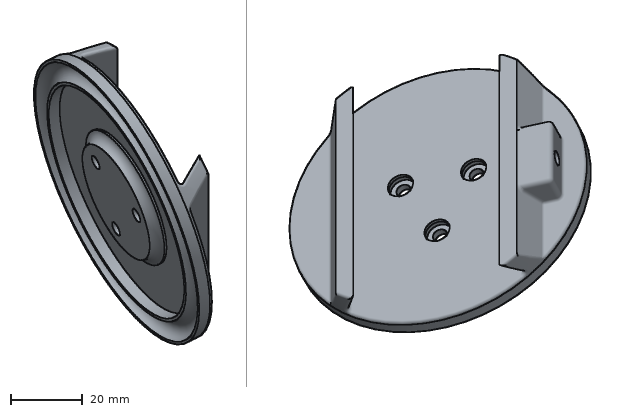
import cadquery as cq
import math

outer_radius = 44.0
plate_thickness = 1.1
clip_height = 9.15

ring_thickness = 3.5
ring_inner_radius = 36.0
groove_center_radius = 40.0
groove_radius = 3.1

hub_height = 3.7
hub_foot_radius = 20.9
hub_flare = 3.0
hub_top_radius = hub_foot_radius - hub_flare

bolt_hole_diameter = 4.1
counterbore_diameter = 7.5
counterbore_depth = 2.5
bolt_circle_radius = 12.5
bolt_angles = (30, 150, 270)

clip_lean = 27.5
clip_inner_foot = 26.4
clip_width = 5.1

box_outer_x = -37.1
box_height = 8.8
box_length = 22.0
box_edge_radius = 1.5
box_hole_diameter = 4.1
box_hole_depth = 5.3
box_hole_height = 4.7

foot_fillet = 1.0
edge_fillet = 0.9

tolerance = 0.001

back_y = plate_thickness
box_top_y = back_y + box_height
clip_shift = clip_height * math.tan(math.radians(clip_lean))


def disc(radius, start_y, end_y):
    """Solid disc around the Y axis between two Y positions."""
    return cq.Workplane("XZ", origin=(0, end_y, 0)).circle(radius).extrude(end_y - start_y)


def drill_bolt_holes(body):
    """Cut the three bolt holes along the disc axis, with counterbores from the back."""
    centers = [
        (bolt_circle_radius * math.cos(math.radians(a)), bolt_circle_radius * math.sin(math.radians(a)))
        for a in bolt_angles
    ]
    reach = hub_height + plate_thickness
    drills = cq.Workplane("XZ").pushPoints(centers).circle(bolt_hole_diameter / 2).extrude(reach, both=True)
    counterbores = (
        cq.Workplane("XZ", origin=(0, back_y, 0))
        .pushPoints(centers)
        .circle(counterbore_diameter / 2)
        .extrude(counterbore_depth)
    )
    return body.cut(drills).cut(counterbores)


def make_ring():
    """Flat ring whose front face carries a half-round groove."""
    ring = disc(outer_radius, -ring_thickness, 0).cut(disc(ring_inner_radius, -ring_thickness, 0))
    groove = cq.Workplane("XY").add(
        cq.Solid.makeTorus(
            groove_center_radius, groove_radius, cq.Vector(0, -ring_thickness, 0), cq.Vector(0, 1, 0)
        )
    )
    return ring.cut(groove)


def make_hub():
    """Round hub whose side flares out in a quarter circle to a thin lip at its foot."""
    bend = hub_flare * math.sqrt(0.5)
    hub = (
        cq.Workplane("XY")
        .lineTo(hub_foot_radius, 0)
        .lineTo(hub_foot_radius, hub_flare - hub_height)
        .threePointArc(
            (hub_foot_radius - bend, bend - hub_height),
            (hub_top_radius, -hub_height),
        )
        .lineTo(0, -hub_height)
        .close()
        .revolve(360, (0, 0, 0), (0, 1, 0))
    )
    return drill_bolt_holes(hub)


def make_clip(side):
    """Wall leaning towards the middle, cut off at both ends by the disc's outline."""
    foot = clip_inner_foot
    profile = [
        (side * foot, 0),
        (side * foot, back_y),
        (side * (foot - clip_shift), back_y + clip_height),
        (side * (foot - clip_shift + clip_width), back_y + clip_height),
        (side * (foot + clip_width), back_y),
        (side * (foot + clip_width), 0),
    ]
    wall = cq.Workplane("XY").polyline(profile).close().extrude(outer_radius, both=True)
    return wall.intersect(disc(outer_radius, 0, back_y + clip_height))


def make_box():
    """Block reaching from its outer wall into the left clip."""
    length = -clip_inner_foot - box_outer_x
    return (
        cq.Workplane("XY")
        .box(length, box_top_y, box_length, centered=(False, False, True))
        .translate((box_outer_x, 0, 0))
    )


def fillet_where(body, radius, test):
    """Fillet the edges for which the test holds at points near both ends and in the middle."""
    chosen = [
        edge
        for edge in body.edges().vals()
        if all(test(edge.positionAt(t)) for t in (0.1, 0.5, 0.9))
    ]
    return body.newObject(chosen).fillet(radius)


def near(value, target):
    return abs(value - target) < tolerance


def on_box_corner(point):
    """Upright corners of the box's outer wall."""
    return near(point.x, box_outer_x) and near(abs(point.z), box_length / 2)


def on_box_top(point):
    """Edges of the box's top, except where it meets the clip."""
    on_outer_wall = near(point.x, box_outer_x)
    return near(point.y, box_top_y) and (on_outer_wall or near(abs(point.z), box_length / 2))


def on_rim(point):
    """Outline cylinder above the plate's front face."""
    return near(math.hypot(point.x, point.z), outer_radius) and point.y > tolerance


def on_foot(point):
    """Where the clips and the box rise from the plate."""
    return near(point.y, back_y) and not on_rim(point)


def on_box_joint(point):
    """Where the box's sides run into the leaning outer face of the left clip."""
    clip_face_x = -clip_inner_foot - clip_width + (point.y - back_y) * math.tan(math.radians(clip_lean))
    return near(point.x, clip_face_x) and near(abs(point.z), box_length / 2)


def make_back_plate():
    """Thin plate with two leaning clips and a drilled box, all blended together."""
    plate = disc(outer_radius, 0, back_y)
    plate = plate.union(make_clip(1)).union(make_clip(-1)).union(make_box())
    plate = fillet_where(plate, box_edge_radius, on_box_corner)
    plate = fillet_where(plate, box_edge_radius, on_box_top)
    plate = fillet_where(plate, foot_fillet, lambda point: on_foot(point) or on_box_joint(point))
    plate = fillet_where(plate, edge_fillet, on_rim)
    box_hole = (
        cq.Workplane("YZ", origin=(box_outer_x, back_y + box_hole_height, 0))
        .circle(box_hole_diameter / 2)
        .extrude(box_hole_depth)
    )
    return drill_bolt_holes(plate.cut(box_hole))


ring = make_ring()
hub = make_hub()
back_plate = make_back_plate()

result = cq.Compound.makeCompound([ring.val(), hub.val(), back_plate.val()])